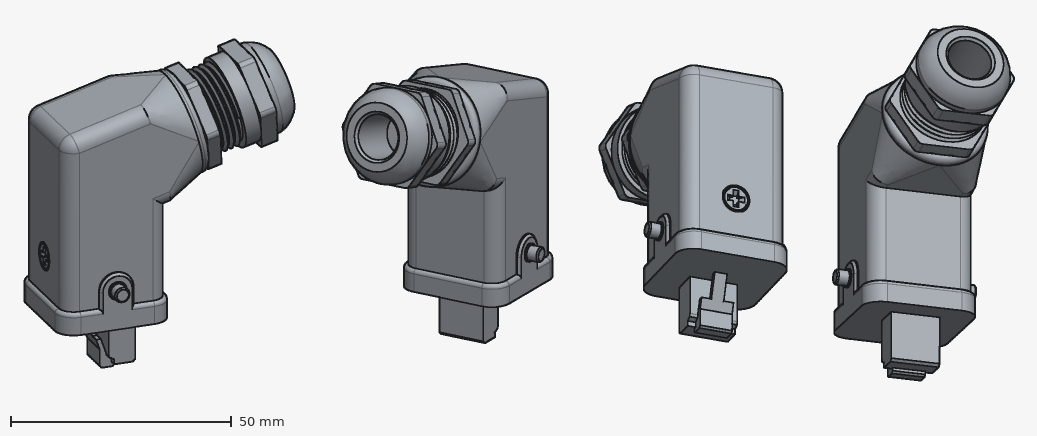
import cadquery as cq
import math


body_half = 12.5
body_corner = 3.6
elbow_angle = 15.0
flat_end_y = 20.1
flat_end_z = 42.6
transition_len = 9.8
neck_len = 2.1
neck_round = 1.4
end_half_flat = 0.1

flange_half = 27.0 / 2
flange_height = 5.4
flange_lip = flange_half - body_half
flange_corner = body_corner + flange_lip
lug_dia = 8.4
lug_edge = 0.65
pin_z = 9.5
pin_dia = 3.6
pin_tip_x = 33.4 / 2
pin_chamfer = 0.35
collar_dia = 4.3
collar_len = 0.35

gland_dia = 22.0
hex_corner = 1.4
nut_len = 3.3
thread_end = 11.65
thread_core_dia = 18.5
thread_dia = 20.3
thread_pitch = 1.5
thread_base = 1.35
thread_sink = 0.1
thread_start = 4.3
thread_turns = 5
cap_hex_start = 15.45
cap_hex_end = 19.45
cap_shoulder = 20.9
cap_bulge = 23.5
cap_bulge_dia = 19.8
cap_end = 25.4
cap_end_dia = 15.75
cable_hole_dia = 10.4
cable_mouth_dia = 11.65

screw_z = 14.7
screw_seat_dia = 6.6
screw_head_dia = 5.65
screw_seat_depth = 0.7
cross_len = 4.15
cross_floor_len = 2.15
cross_width = 1.3
cross_depth = 1.1

insert_half_x = 5.8
insert_back_y = 7.4
insert_front_y = 0.85
insert_bottom_z = -11.7
insert_chamfer = 0.65
notch_y = 2.2
notch_z = -10.5
notch_mid_y = 1.1
notch_mid_z = -9.95
notch_top_z = -9.15
latch_top_y = -3.5
latch_top_thickness = 1.2
latch_hook_y = 3.0
latch_chamfer = 0.5
latch_bottom_z = -12.95
latch_front_y = -0.6
latch_bend_z = -8.4
latch_half_x = 7.8 / 2
stem_half_x = 1.5
stem_end_z = -5.9

tilt = math.radians(elbow_angle)
along_dir = cq.Vector(0, math.cos(tilt), math.sin(tilt))
across_dir = cq.Vector(0, -math.sin(tilt), math.cos(tilt))
flat_end = cq.Vector(0, flat_end_y, flat_end_z)
nut_end = neck_len + nut_len


def arm_point(along, across):
    """(y, z) of a point given along the arm axis and upwards across it."""
    point = flat_end + along_dir * along + across_dir * across
    return point.y, point.z


def arm_edge_point(y, across):
    """(y, z) where the line running along the arm at an offset across it passes y."""
    start_y, start_z = arm_point(0, across)
    return y, start_z + (y - start_y) * math.tan(tilt)


def arm_plane(along):
    """Plane square to the arm axis, facing outwards."""
    return cq.Plane(origin=flat_end + along_dir * along, xDir=(1, 0, 0), normal=along_dir)


def arm_disc(dia, start, end):
    """Cylinder on the arm axis between two distances along it."""
    return cq.Workplane(arm_plane(start)).circle(dia / 2).extrude(end - start)


def arm_hexagon(start, end):
    """Hexagon with rounded corners and a flat facing up the arm."""
    across_corners = gland_dia / math.cos(math.pi / 6)
    hexagon = cq.Workplane(arm_plane(start)).polygon(6, across_corners).extrude(end - start)
    return hexagon.edges(cq.ParallelDirSelector(along_dir)).fillet(hex_corner)


def rounded_square(half, corner):
    """Sketch of a square with rounded corners, given its half width."""
    return cq.Sketch().rect(2 * half, 2 * half).vertices().fillet(corner)


def bent_tube():
    """Upright square tube mitred into the inclined square arm, with rounded edges."""
    outline = [
        (-body_half, 0),
        (body_half, 0),
        arm_edge_point(body_half, -body_half),
        arm_point(-transition_len, -body_half),
        arm_point(-transition_len, body_half),
        arm_edge_point(-body_half, body_half),
    ]
    tube = cq.Workplane("YZ").polyline(outline).close().extrude(body_half, both=True)
    not_on_ends = cq.StringSyntaxSelector("not(<Z)") - cq.ParallelDirSelector(across_dir)
    side_edges = tube.faces("<X or >X").edges(not_on_ends)
    front_top_edge = tube.edges("|X").edges("<Y").edges(">Z")
    return side_edges.add(front_top_edge).fillet(body_corner)


def arm_end():
    """Square-to-round transition and the rounded neck that carries the gland."""
    transition = (
        cq.Workplane(arm_plane(-transition_len))
        .placeSketch(
            rounded_square(body_half, body_corner),
            rounded_square(body_half, body_half - end_half_flat).moved(cq.Location((0, 0, transition_len))),
        )
        .loft(ruled=True)
    )
    neck = arm_disc(2 * body_half, 0, neck_len).faces(cq.DirectionMinMaxSelector(along_dir)).edges()
    return transition.union(neck.fillet(neck_round))


def flange():
    """Square base plate with a rounded top edge running into the tube walls."""
    plate = cq.Workplane("XY").placeSketch(rounded_square(flange_half, flange_corner)).extrude(flange_height)
    return plate.faces(">Z").edges().fillet(flange_lip)


def pivot(side):
    """Round-topped lug on one flank (side is -1 or 1) with its locking pin."""
    outward = cq.Plane(origin=(0, 0, 0), xDir=(0, side, 0), normal=(side, 0, 0))
    lug = (
        cq.Workplane(outward)
        .moveTo(-lug_dia / 2, 0)
        .lineTo(lug_dia / 2, 0)
        .lineTo(lug_dia / 2, pin_z)
        .threePointArc((0, pin_z + lug_dia / 2), (-lug_dia / 2, pin_z))
        .close()
        .extrude(flange_half)
    )
    outer_face = ">X" if side > 0 else "<X"
    lug = lug.faces(outer_face).edges("not(<Z)").chamfer(lug_edge)
    collar = cq.Workplane(outward).center(0, pin_z).circle(collar_dia / 2).extrude(flange_half + collar_len)
    pin = cq.Workplane(outward).center(0, pin_z).circle(pin_dia / 2).extrude(pin_tip_x)
    pin = pin.faces(outer_face).chamfer(pin_chamfer)
    return lug.union(collar).union(pin)


def thread():
    """Helical V ridge wound on the gland core."""
    core_radius = thread_core_dia / 2 - thread_sink
    helix = cq.Wire.makeHelix(thread_pitch, thread_turns * thread_pitch, core_radius)
    ridge = (
        cq.Workplane("XZ")
        .polyline([
            (core_radius, -thread_base / 2),
            (thread_dia / 2, 0),
            (core_radius, thread_base / 2),
        ])
        .close()
        .sweep(cq.Workplane(helix), isFrenet=True)
    )
    return cq.Workplane(ridge.val().moved(cq.Location(arm_plane(thread_start))))


def gland():
    """Lock nut, threaded core and domed cap on the arm axis."""
    nut = arm_hexagon(neck_len, nut_end)
    core = arm_disc(thread_core_dia, neck_len, cap_hex_start)
    cap = arm_disc(gland_dia, thread_end, cap_shoulder)
    cap_hexagon = arm_hexagon(cap_hex_start, cap_hex_end)
    cap_nose = (
        cq.Workplane(cq.Plane(origin=flat_end, xDir=(1, 0, 0), normal=across_dir))
        .moveTo(0, cap_shoulder)
        .lineTo(gland_dia / 2, cap_shoulder)
        .threePointArc((cap_bulge_dia / 2, cap_bulge), (cap_end_dia / 2, cap_end))
        .lineTo(0, cap_end)
        .close()
        .revolve(360, (0, 0), (0, 1))
    )
    return nut.union(core.union(thread())).union(cap).union(cap_hexagon).union(cap_nose)


def cable_hole():
    """Blind hole as deep as the cap, countersunk at its mouth."""
    mouth_depth = (cable_mouth_dia - cable_hole_dia) / 2
    mouth = (
        cq.Workplane(arm_plane(cap_end - mouth_depth))
        .circle(cable_hole_dia / 2)
        .workplane(offset=mouth_depth)
        .circle(cable_mouth_dia / 2)
        .loft()
    )
    return arm_disc(cable_hole_dia, thread_end, cap_end).union(mouth)


def screw_recess():
    """Ring gap round the flush screw head and the cross slot in the head."""
    front = cq.Workplane(cq.Plane(origin=(0, -body_half, screw_z), xDir=(1, 0, 0), normal=(0, -1, 0)))
    recess = front.circle(screw_seat_dia / 2).circle(screw_head_dia / 2).extrude(-screw_seat_depth)
    slot = (
        cq.Workplane("XY")
        .polyline([
            (-cross_len / 2, -body_half),
            (cross_len / 2, -body_half),
            (cross_floor_len / 2, cross_depth - body_half),
            (-cross_floor_len / 2, cross_depth - body_half),
        ])
        .close()
        .extrude(cross_width / 2, both=True)
    )
    for angle in (0, 90):
        recess = recess.union(slot.rotate((0, 0, 0), (0, 1, 0), angle).translate((0, 0, screw_z)))
    return recess


def insert():
    """Contact block below the flange, notched at its front bottom edge."""
    return (
        cq.Workplane("YZ")
        .polyline([
            (insert_back_y, 0),
            (insert_back_y, insert_bottom_z + insert_chamfer),
            (insert_back_y - insert_chamfer, insert_bottom_z),
            (notch_y, insert_bottom_z),
            (notch_y, notch_z),
            (notch_mid_y, notch_mid_z),
            (insert_front_y, notch_top_z),
            (insert_front_y, 0),
        ])
        .close()
        .extrude(insert_half_x, both=True)
    )


def latch():
    """Sloping spring arm with a narrow stem and a wide hooked head."""
    profile = cq.Workplane("YZ").polyline([
        (latch_top_y, 0),
        (latch_top_y + latch_top_thickness, 0),
        (insert_front_y, notch_top_z),
        (notch_mid_y, notch_mid_z),
        (notch_y, notch_z),
        (notch_y, insert_bottom_z),
        (latch_hook_y, insert_bottom_z),
        (latch_hook_y, latch_bottom_z + latch_chamfer),
        (latch_hook_y - latch_chamfer, latch_bottom_z),
        (latch_front_y + latch_chamfer, latch_bottom_z),
        (latch_front_y, latch_bottom_z + latch_chamfer),
        (latch_front_y, latch_bend_z),
    ]).close()
    blade = profile.extrude(latch_half_x, both=True)
    relief_width = latch_half_x - stem_half_x
    relief_centre = (latch_half_x + stem_half_x) / 2
    relief = (
        cq.Workplane("XZ")
        .pushPoints([(-relief_centre, stem_end_z / 2), (relief_centre, stem_end_z / 2)])
        .rect(relief_width, -stem_end_z)
        .extrude(flange_half, both=True)
    )
    return blade.cut(relief)


hood = bent_tube().union(arm_end()).union(flange())
for flank in (-1, 1):
    hood = hood.union(pivot(flank))
hood = hood.cut(screw_recess())

result = hood.union(gland()).cut(cable_hole()).union(insert()).union(latch())